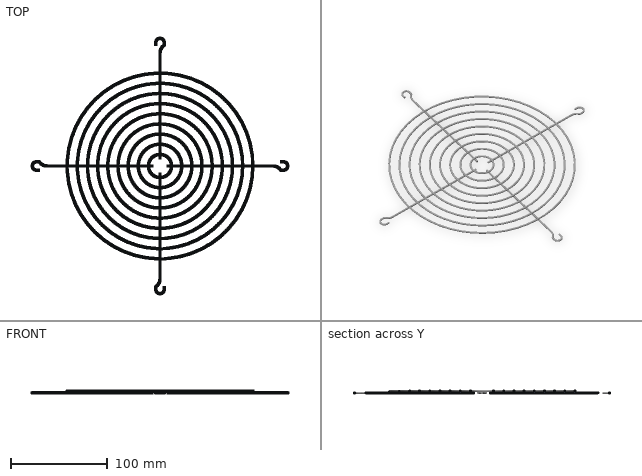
import cadquery as cq
import math

SPAN = 266.0
WIRE = 2.0
WELD_DEPTH = 0.08
RING_COUNT = 9
FIRST_RING_RADIUS = 12.0
RING_PITCH = 10.5
SPOKE_COUNT = 4
SPOKE_START = 7.7
SPOKE_END = 116.8
HOOK_RADIUS = 4.3
HOOK_LEG = 3.0

SPOKE_Z = WIRE / 2
RING_Z = SPOKE_Z + WIRE - WELD_DEPTH
BEND_CENTRE = SPAN / 2 - WIRE / 2 - HOOK_RADIUS
LEG_END = BEND_CENTRE - HOOK_LEG


def ring(radius):
    """Closed wire ring lying on top of the spokes."""
    section = cq.Workplane("XZ").center(radius, RING_Z).circle(WIRE / 2)
    return section.revolve(360, (-radius, 0), (-radius, 1))


def wire_along_x(path, start_x, start_y):
    """Sweep the spoke wire along a path that starts parallel to X."""
    section = cq.Workplane("YZ", origin=(start_x, start_y, SPOKE_Z)).circle(WIRE / 2)
    return section.sweep(path)


def path_from(x, y):
    """Begin a path in the mid-plane of the spokes."""
    return cq.Workplane("XY", origin=(0, 0, SPOKE_Z)).moveTo(x, y)


def spoke():
    """Spoke along +X, its curved neck and the open hook at its end."""
    bar = wire_along_x(path_from(SPOKE_START, 0).lineTo(SPOKE_END, 0), SPOKE_START, 0)

    neck_length = LEG_END - SPOKE_END
    neck_radius = (neck_length**2 + HOOK_RADIUS**2) / (2 * HOOK_RADIUS)
    half_angle = math.asin(neck_length / neck_radius) / 2
    neck_middle = (
        SPOKE_END + neck_radius * math.sin(half_angle),
        -neck_radius * (1 - math.cos(half_angle)),
    )
    neck_path = path_from(SPOKE_END, 0).threePointArc(neck_middle, (LEG_END, -HOOK_RADIUS))
    neck = wire_along_x(neck_path, SPOKE_END, 0)

    hook_path = (
        path_from(LEG_END, -HOOK_RADIUS)
        .lineTo(BEND_CENTRE, -HOOK_RADIUS)
        .threePointArc((BEND_CENTRE + HOOK_RADIUS, 0), (BEND_CENTRE, HOOK_RADIUS))
        .lineTo(LEG_END, HOOK_RADIUS)
    )
    hook = wire_along_x(hook_path, LEG_END, -HOOK_RADIUS)
    return bar.union(neck).union(hook)


base_spoke = spoke()
result = base_spoke
for index in range(1, SPOKE_COUNT):
    result = result.union(base_spoke.rotate((0, 0, 0), (0, 0, 1), index * 360 / SPOKE_COUNT))
for index in range(RING_COUNT):
    result = result.union(ring(FIRST_RING_RADIUS + index * RING_PITCH))